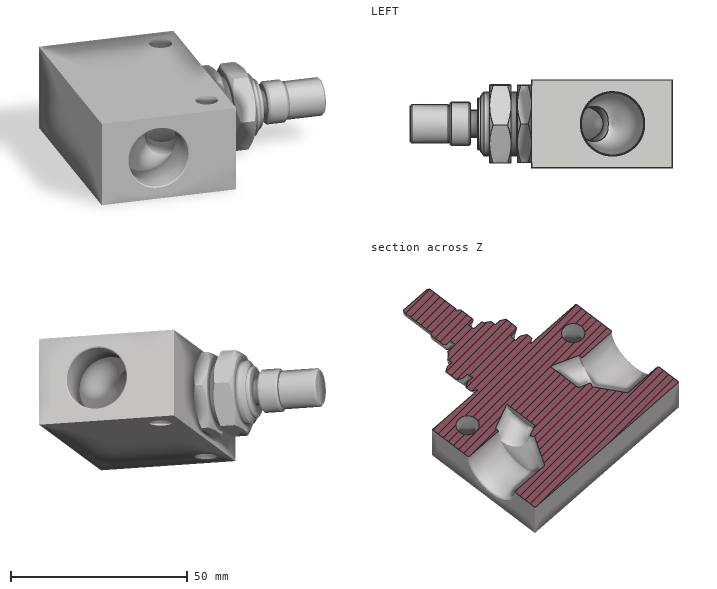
import cadquery as cq
import math

TOTAL_LENGTH = 74.45
BLOCK_WIDTH = 60.0
BLOCK_LENGTH = 40.0
BLOCK_HEIGHT = 25.0
SPINDLE_LENGTH = TOTAL_LENGTH - BLOCK_LENGTH

MOUNT_DIAMETER = 6.5
MOUNT_SPACING = 44.0
MOUNT_FROM_BACK = 6.3

PORT_RADIUS = 8.85
PORT_CHAMFER = 0.3
PORT_DEPTH = 12.65
PORT_FROM_BACK = 23.0
DRILL_TIP_ANGLE = 118.0

PASSAGE_RADIUS = 5.0
PASSAGE_START_X = 14.9
PASSAGE_OFFSET = 5.7
PASSAGE_ANGLE = 22.0
PASSAGE_OVERLAP = 7.45

NUT_ACROSS_FLATS = 22.0
NUT_CHAMFER_ANGLE = 30.0
LOCK_NUT_HEIGHT = 4.0
PANEL_NUT_START = 5.8
PANEL_NUT_HEIGHT = 6.1
PANEL_NUT_TURN = 1.2

THREAD_RADIUS = 9.1
THREAD_CHAMFER = 0.3
THREAD_TOP = 13.55
CONE_TOP_RADIUS = 7.75
RING_RADIUS = 7.4
RING_BOTTOM = 14.5
RING_TOP = 15.4
RING_CHAMFER = 0.3
STEM_RADIUS = 3.9
COLLAR_RADIUS = 6.2
COLLAR_BOTTOM = 17.3
COLLAR_TOP = 23.2
KNOB_RADIUS = 5.5
KNOB_BEVEL_TOP = 23.7
KNOB_CHAMFER = 0.5


def make_block():
    block = cq.Workplane("XY").box(
        BLOCK_WIDTH, BLOCK_LENGTH, BLOCK_HEIGHT, centered=(True, False, True)
    ).translate((0, -BLOCK_LENGTH, 0))
    return (
        block.faces(">Z").workplane(origin=(0, -MOUNT_FROM_BACK, 0))
        .pushPoints([(-MOUNT_SPACING / 2, 0), (MOUNT_SPACING / 2, 0)])
        .hole(MOUNT_DIAMETER)
    )


def make_port():
    """Void of the -X port, revolved about its axis along X."""
    mouth_x = -BLOCK_WIDTH / 2
    shoulder_x = mouth_x + PORT_DEPTH
    tip_length = PORT_RADIUS / math.tan(math.radians(DRILL_TIP_ANGLE / 2))
    profile = [
        (mouth_x, 0),
        (mouth_x, PORT_RADIUS + PORT_CHAMFER),
        (mouth_x + PORT_CHAMFER, PORT_RADIUS),
        (shoulder_x, PORT_RADIUS),
        (shoulder_x + tip_length, 0),
    ]
    port = cq.Workplane("XY").polyline(profile).close().revolve(360, (0, 0), (1, 0))
    return port.translate((0, -PORT_FROM_BACK, 0))


def make_passage():
    """Void that leans from the -X port towards the back and stops at the round insert."""
    lean = math.radians(PASSAGE_ANGLE)
    direction = cq.Vector(math.cos(lean), math.sin(lean), 0)
    middle = cq.Vector(-PASSAGE_START_X, PASSAGE_OFFSET - PORT_FROM_BACK, 0)
    start = middle - direction * PASSAGE_OVERLAP
    length = PASSAGE_OVERLAP + PASSAGE_START_X / math.cos(lean)
    passage = cq.Workplane(cq.Solid.makeCylinder(PASSAGE_RADIUS, length, start, direction))
    insert = cq.Workplane("XZ").circle(THREAD_RADIUS).extrude(BLOCK_LENGTH)
    entry_limit = cq.Workplane("YZ", origin=(-BLOCK_WIDTH / 2 + PORT_DEPTH, -PORT_FROM_BACK, 0))
    entry_limit = entry_limit.rect(BLOCK_LENGTH, BLOCK_HEIGHT).extrude(BLOCK_WIDTH)
    return passage.intersect(entry_limit).cut(insert)


def make_nut(start, height, turn):
    """Hexagon nut along +Y with both ends bevelled down to the across-flats circle."""
    flat_radius = NUT_ACROSS_FLATS / 2
    corner_radius = flat_radius / math.cos(math.pi / 6)
    bevel = (corner_radius - flat_radius) * math.tan(math.radians(NUT_CHAMFER_ANGLE))
    hexagon = (
        cq.Workplane("XZ").polygon(6, 2 * corner_radius).extrude(-height)
        .rotate((0, 0, 0), (0, -1, 0), turn)
    )
    envelope = (
        cq.Workplane("XY")
        .polyline([
            (0, 0),
            (flat_radius, 0),
            (corner_radius, bevel),
            (corner_radius, height - bevel),
            (flat_radius, height),
            (0, height),
        ])
        .close().revolve(360, (0, 0), (0, 1))
    )
    return hexagon.intersect(envelope).translate((0, start, 0))


def make_spindle():
    """Threaded neck, ring, stem, collar and knob as one turned shape."""
    profile = [
        (0, 0),
        (THREAD_RADIUS - THREAD_CHAMFER, 0),
        (THREAD_RADIUS - THREAD_CHAMFER, LOCK_NUT_HEIGHT),
        (THREAD_RADIUS, LOCK_NUT_HEIGHT + THREAD_CHAMFER),
        (THREAD_RADIUS, THREAD_TOP),
        (CONE_TOP_RADIUS, RING_BOTTOM),
        (RING_RADIUS, RING_BOTTOM),
        (RING_RADIUS, RING_TOP - RING_CHAMFER),
        (RING_RADIUS - RING_CHAMFER, RING_TOP),
        (STEM_RADIUS, RING_TOP),
        (STEM_RADIUS, COLLAR_BOTTOM),
        (COLLAR_RADIUS - KNOB_CHAMFER, COLLAR_BOTTOM),
        (COLLAR_RADIUS, COLLAR_BOTTOM + KNOB_CHAMFER),
        (COLLAR_RADIUS, COLLAR_TOP - KNOB_CHAMFER),
        (COLLAR_RADIUS - KNOB_CHAMFER, COLLAR_TOP),
        (KNOB_RADIUS - KNOB_CHAMFER, COLLAR_TOP),
        (KNOB_RADIUS, KNOB_BEVEL_TOP),
        (KNOB_RADIUS, SPINDLE_LENGTH - KNOB_CHAMFER),
        (KNOB_RADIUS - KNOB_CHAMFER, SPINDLE_LENGTH),
        (0, SPINDLE_LENGTH),
    ]
    return cq.Workplane("XY").polyline(profile).close().revolve(360, (0, 0), (0, 1))


body = make_block()
for void in (make_port(), make_passage()):
    body = body.cut(void).cut(void.mirror("YZ"))

lock_nut = make_nut(0, LOCK_NUT_HEIGHT, 0)
panel_nut = make_nut(PANEL_NUT_START, PANEL_NUT_HEIGHT, PANEL_NUT_TURN)
part = body.union(make_spindle()).union(lock_nut).union(panel_nut)

result = part.translate((0, BLOCK_LENGTH - TOTAL_LENGTH / 2, 0))